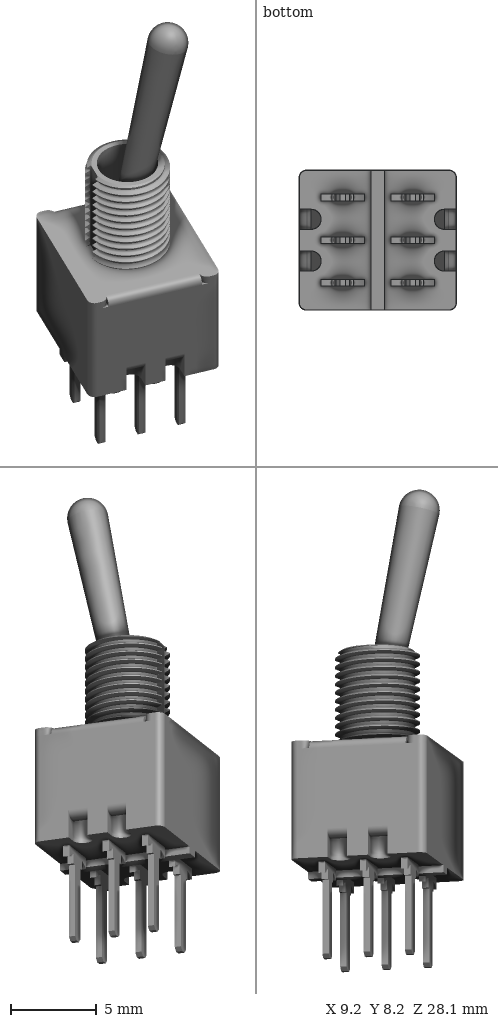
import cadquery as cq
import math


OVERALL_HEIGHT = 28.05
BODY_WIDTH = 9.2
BODY_DEPTH = 8.2
BODY_HEIGHT = 7.0
CORNER_RADIUS = 0.45

SHEET = 0.48
STRAP_WIDTH = 5.83
STRAP_HEIGHT = 5.33
TAB_WIDTH = 1.18
TAB_SPACING = 2.45
SLOT_STRAIGHT = 0.7

BUSHING_HEIGHT = 6.0
BORE_DIAMETER = 3.6
THREAD_MAJOR = 5.0
THREAD_ROOT = 4.38
THREAD_TURNS = 12
THREAD_EXCESS_TURNS = 2
CORE_EXCESS = 1.68
THREAD_RISE = 0.08
THREAD_BASE = 0.4
THREAD_CREST = 0.05
THREAD_OVERLAP = 0.05
LEAD_IN_DEPTH = 0.4
LEAD_IN_HEIGHT = 0.22
KEYWAY_WIDTH = 1.18
KEYWAY_FLOOR = 2.08

BALL_DIAMETER = 3.9
PIVOT_DEPTH = 3.8
LEVER_TILT = 11.8
LEVER_TIP_DIAMETER = 2.4
LEVER_NECK_DIAMETER = 1.75

RIDGE_WIDTH = 0.79
RIDGE_HEIGHT = 0.42

PIN_LENGTH = 5.55
PIN_WIDTH = 0.79
PIN_THICKNESS = 0.4
PIN_CHAMFER = 0.22
HEAD_WIDTH = 2.55
HEAD_LENGTH = 0.67
ARCH_RISE = 0.42
SHOULDER_WIDTH = 1.23
SHOULDER_LENGTH = 0.93
ROW_SPACING = 4.1
PIN_PITCH = 2.5

HALF_WIDTH = BODY_WIDTH / 2
PLATE_BOTTOM = BODY_HEIGHT - SHEET
STRAP_BOTTOM = BODY_HEIGHT - STRAP_HEIGHT
BUSHING_TOP = BODY_HEIGHT + BUSHING_HEIGHT
PIVOT_Z = BUSHING_TOP - PIVOT_DEPTH
LEVER_TOP = OVERALL_HEIGHT - PIN_LENGTH
SIDES = (-1, 1)


def body_block(bottom, height):
    """A block of the full body outline with rounded vertical edges."""
    block = cq.Workplane("XY").workplane(offset=bottom).rect(BODY_WIDTH, BODY_DEPTH).extrude(height)
    return block.edges("|Z").fillet(CORNER_RADIUS)


def strap_space(bottom, top):
    """The flush rectangular spaces that the straps fill on both sides."""
    return (
        cq.Workplane("XY")
        .workplane(offset=bottom)
        .pushPoints([(side * (HALF_WIDTH - SHEET / 2), 0) for side in SIDES])
        .rect(SHEET, STRAP_WIDTH)
        .extrude(top - bottom)
    )


def tab_places():
    return [(side, end * TAB_SPACING / 2) for side in SIDES for end in SIDES]



def tab_slot(side, y):
    """A slot, open to the side and underside, with a semicircular inner end."""
    round_centre = side * (HALF_WIDTH - SLOT_STRAIGHT)
    straight_centre = side * (HALF_WIDTH - SLOT_STRAIGHT / 2)
    straight = cq.Workplane("XY").center(straight_centre, y).rect(SLOT_STRAIGHT, TAB_WIDTH)
    round_end = cq.Workplane("XY").center(round_centre, y).circle(TAB_WIDTH / 2)
    return straight.extrude(STRAP_BOTTOM).union(round_end.extrude(STRAP_BOTTOM))


def make_housing():
    housing = body_block(0, PLATE_BOTTOM).cut(strap_space(STRAP_BOTTOM, PLATE_BOTTOM))
    for side, y in tab_places():
        housing = housing.cut(tab_slot(side, y))
    ridge = cq.Workplane("XY").rect(RIDGE_WIDTH, BODY_DEPTH).extrude(-RIDGE_HEIGHT)
    return housing.union(ridge)



def plate():
    """The top plate, notched for the straps, with a rounded ear beside each notch."""
    notched = body_block(PLATE_BOTTOM, SHEET)
    for side in SIDES:
        notch_edge = side * (HALF_WIDTH - SHEET)
        for end in SIDES:
            strap_edge = end * STRAP_WIDTH / 2
            ear_corner = (
                cq.Workplane("XY")
                .workplane(offset=PLATE_BOTTOM)
                .moveTo(side * HALF_WIDTH, strap_edge)
                .lineTo(notch_edge, strap_edge)
                .radiusArc((side * HALF_WIDTH, strap_edge + end * SHEET), -side * end * SHEET)
                .close()
                .extrude(SHEET)
            )
            notched = notched.cut(ear_corner)
    return notched.cut(strap_space(PLATE_BOTTOM, BODY_HEIGHT))


def strap(side):
    """A side strap, rounded where it bends down from the plate."""
    outer = side * HALF_WIDTH
    inner = side * (HALF_WIDTH - SHEET)
    return (
        cq.Workplane("XZ")
        .moveTo(inner, BODY_HEIGHT)
        .radiusArc((outer, PLATE_BOTTOM), side * SHEET)
        .lineTo(outer, STRAP_BOTTOM)
        .lineTo(inner, STRAP_BOTTOM)
        .close()
        .extrude(STRAP_WIDTH / 2, both=True)
    )


def tab(side, y):
    """A locking tab, bent inward under the housing wall from the strap's lower edge."""
    outer = side * HALF_WIDTH
    bend_end = side * (HALF_WIDTH - SHEET)
    tip = side * (HALF_WIDTH - SLOT_STRAIGHT)
    return (
        cq.Workplane("XZ", origin=(0, y, 0))
        .moveTo(outer, STRAP_BOTTOM)
        .radiusArc((bend_end, STRAP_BOTTOM - SHEET), side * SHEET)
        .lineTo(tip, STRAP_BOTTOM - SHEET)
        .lineTo(tip, STRAP_BOTTOM)
        .close()
        .extrude(TAB_WIDTH / 2, both=True)
    )


def thread_ridge():
    """A right-hand helical ridge of trapezoid section, longer than the bushing at both ends."""
    pitch = BUSHING_HEIGHT / THREAD_TURNS
    start = BODY_HEIGHT + THREAD_RISE - THREAD_EXCESS_TURNS * pitch
    length = (THREAD_TURNS + 2 * THREAD_EXCESS_TURNS) * pitch
    root = THREAD_ROOT / 2 - THREAD_OVERLAP
    crest = THREAD_MAJOR / 2
    helix = cq.Wire.makeHelix(pitch, length, root, center=cq.Vector(0, 0, start))
    section = (
        cq.Workplane("XZ")
        .moveTo(root, start - THREAD_BASE / 2)
        .lineTo(crest, start - THREAD_CREST / 2)
        .lineTo(crest, start + THREAD_CREST / 2)
        .lineTo(root, start + THREAD_BASE / 2)
        .close()
    )
    return section.sweep(cq.Workplane(helix), isFrenet=True)


def bushing():
    """The threaded bushing with its lead-in chamfer and keyway, before boring."""
    lead_in_slope = LEAD_IN_DEPTH / LEAD_IN_HEIGHT
    top_radius = THREAD_MAJOR / 2 - LEAD_IN_DEPTH
    envelope = (
        cq.Workplane("XZ")
        .moveTo(0, BODY_HEIGHT)
        .lineTo(THREAD_MAJOR, BODY_HEIGHT)
        .lineTo(THREAD_MAJOR, BUSHING_TOP - (THREAD_MAJOR - top_radius) / lead_in_slope)
        .lineTo(top_radius, BUSHING_TOP)
        .lineTo(0, BUSHING_TOP)
        .close()
        .revolve(360, (0, 0, 0), (0, 1, 0))
    )
    core = (
        cq.Workplane("XY")
        .workplane(offset=BODY_HEIGHT - CORE_EXCESS)
        .circle(THREAD_ROOT / 2)
        .extrude(BUSHING_HEIGHT + 2 * CORE_EXCESS)
    )
    keyway = (
        cq.Workplane("XY")
        .workplane(offset=BODY_HEIGHT)
        .center(0, -KEYWAY_FLOOR - THREAD_MAJOR / 2)
        .rect(KEYWAY_WIDTH, THREAD_MAJOR)
        .extrude(BUSHING_HEIGHT)
    )
    return core.union(thread_ridge()).intersect(envelope).cut(keyway)


def ball():
    return cq.Workplane("XY").sphere(BALL_DIAMETER / 2).translate((0, 0, PIVOT_Z))


def make_cover():
    cover = plate()
    for side in SIDES:
        cover = cover.union(strap(side))
    for side, y in tab_places():
        cover = cover.union(tab(side, y))
    cover = cover.union(bushing())
    bore = cq.Workplane("XY").workplane(offset=PIVOT_Z).circle(BORE_DIAMETER / 2).extrude(PIVOT_DEPTH)
    socket = (
        cq.Workplane("XY")
        .workplane(offset=PLATE_BOTTOM)
        .circle(BALL_DIAMETER / 2)
        .extrude(PIVOT_Z - PLATE_BOTTOM)
    )
    return cover.cut(bore).cut(socket).cut(ball())



def make_lever():
    """A tapered stick with a domed tip on a pivot ball, tilted toward +Y."""
    tip_radius = LEVER_TIP_DIAMETER / 2
    dome_centre = (LEVER_TOP - tip_radius - PIVOT_Z) / math.cos(math.radians(LEVER_TILT))
    stick = (
        cq.Workplane("XZ")
        .lineTo(LEVER_NECK_DIAMETER / 2, 0)
        .lineTo(tip_radius, dome_centre)
        .radiusArc((0, dome_centre + tip_radius), -tip_radius)
        .close()
        .revolve(360, (0, 0, 0), (0, 1, 0))
        .rotate((0, 0, 0), (1, 0, 0), -LEVER_TILT)
        .translate((0, 0, PIVOT_Z))
    )
    return ball().union(stick)



def make_terminal(x, y):
    """A flat terminal: an arched head against the housing, a shoulder and a pin."""
    half_pin = PIN_WIDTH / 2
    half_head = HEAD_WIDTH / 2
    half_shoulder = SHOULDER_WIDTH / 2
    face = cq.Workplane("XZ", origin=(x, y, 0))
    head = (
        face.moveTo(-half_head, 0)
        .lineTo(-half_head, -HEAD_LENGTH)
        .threePointArc((0, ARCH_RISE - HEAD_LENGTH), (half_head, -HEAD_LENGTH))
        .lineTo(half_head, 0)
        .close()
        .extrude(PIN_THICKNESS / 2, both=True)
    )
    shank = (
        face.moveTo(-half_shoulder, 0)
        .lineTo(-half_shoulder, -SHOULDER_LENGTH)
        .lineTo(-half_pin, -SHOULDER_LENGTH)
        .lineTo(-half_pin, PIN_CHAMFER - PIN_LENGTH)
        .lineTo(PIN_CHAMFER - half_pin, -PIN_LENGTH)
        .lineTo(half_pin - PIN_CHAMFER, -PIN_LENGTH)
        .lineTo(half_pin, PIN_CHAMFER - PIN_LENGTH)
        .lineTo(half_pin, -SHOULDER_LENGTH)
        .lineTo(half_shoulder, -SHOULDER_LENGTH)
        .lineTo(half_shoulder, 0)
        .close()
        .extrude(PIN_THICKNESS / 2, both=True)
    )
    return head.union(shank)


housing = make_housing()
cover = make_cover()
lever = make_lever()
terminals = []
for side in SIDES:
    for row in (-1, 0, 1):
        terminal = make_terminal(side * ROW_SPACING / 2, row * PIN_PITCH)
        terminals.append(terminal.val())

result = cq.Compound.makeCompound([housing.val(), cover.val(), lever.val(), *terminals])